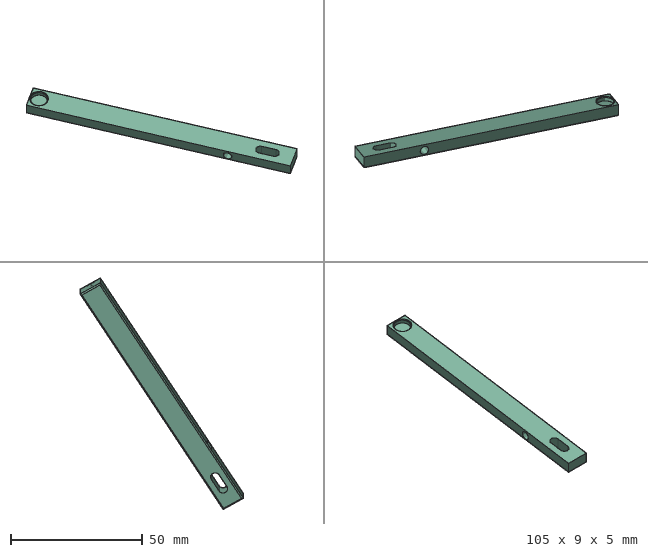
import cadquery as cq

length = 105.0
width = 9.0
height = 5.0
bottom_chamfer = 0.5

pocket_radius = 3.3
pocket_depth = 1.8
pocket_rim_chamfer = 0.3
end_wall = 0.1
pocket_x = end_wall + pocket_radius + pocket_rim_chamfer

cross_hole_diameter = 3.4
cross_hole_x = 80.0
cross_hole_z = height / 2

slot_length = 9.1
slot_width = 3.5
slot_end_margin = 5.9
slot_x = length - slot_end_margin - slot_length / 2


def make_bar():
    """Bar from x = 0 and z = 0, centred on y, chamfered around its bottom face."""
    bar = cq.Workplane("XY").box(length, width, height, centered=(False, True, False))
    return bar.faces("<Z").edges().chamfer(bottom_chamfer)


def make_pocket():
    """Flat-bottomed cylinder that flares out at the top face."""
    profile = (
        cq.Workplane("XZ")
        .moveTo(0, height - pocket_depth)
        .lineTo(pocket_radius, height - pocket_depth)
        .lineTo(pocket_radius, height - pocket_rim_chamfer)
        .lineTo(pocket_radius + pocket_rim_chamfer, height)
        .lineTo(0, height)
        .close()
    )
    return profile.revolve(360, (0, 0, 0), (0, 1, 0)).translate((pocket_x, 0, 0))


def make_cross_hole():
    """Cylinder along Y through both long sides."""
    return (
        cq.Workplane("XZ")
        .center(cross_hole_x, cross_hole_z)
        .circle(cross_hole_diameter / 2)
        .extrude(width / 2, both=True)
    )


def make_slot():
    """Round-ended slot along X, through the top and bottom faces."""
    return cq.Workplane("XY").center(slot_x, 0).slot2D(slot_length, slot_width).extrude(height)


result = make_bar().cut(make_pocket()).cut(make_cross_hole()).cut(make_slot())